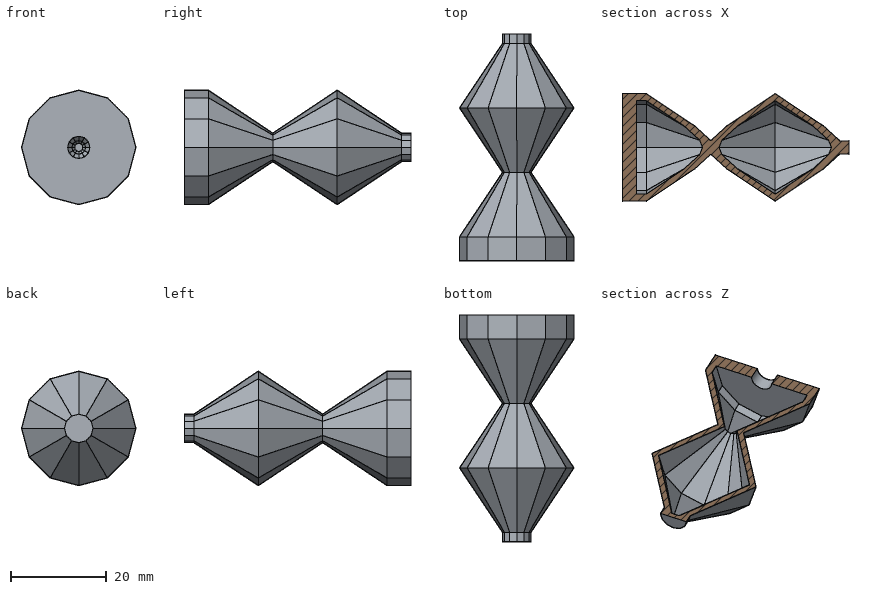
import cadquery as cq

length = 47.5
side_count = 12
base_length = 5.05
tip_length = 2.0
cone_length = (length - base_length - tip_length) / 3

wide_radius = 24.0 / 2
narrow_radius = 3.0

wall_inset = 1.55
floor_thickness = 3.0
cavity_tip_radius = 0.85
bore_diameter = 4.55

base_face = -length / 2
base_top = base_face + base_length
waist = base_top + cone_length
belly = waist + cone_length
tip_start = belly + cone_length
tip_face = length / 2
cavity_start = base_face + floor_thickness

cavity_wide_radius = wide_radius - wall_inset
cavity_narrow_radius = narrow_radius - wall_inset
cone_taper = (wide_radius - narrow_radius) / cone_length
cavity_end = tip_start + (cavity_narrow_radius - cavity_tip_radius) / cone_taper


def section_plane(y):
    """Plane across the axis at y, with its normal toward +Y."""
    return cq.Plane(origin=(0, y, 0), xDir=(1, 0, 0), normal=(0, 1, 0))


def faceted_segment(start, end):
    """Twelve-sided prism or tapered length between two (y, corner radius) stations."""
    (start_y, start_radius), (end_y, end_radius) = start, end
    return (
        cq.Workplane(section_plane(start_y))
        .polygon(side_count, 2 * start_radius)
        .workplane(offset=end_y - start_y)
        .polygon(side_count, 2 * end_radius)
        .loft(ruled=True, combine=True)
    )


def faceted_body(stations):
    """Solid joining all the segments between neighbouring stations."""
    body = faceted_segment(stations[0], stations[1])
    for start, end in zip(stations[1:], stations[2:]):
        body = body.union(faceted_segment(start, end))
    return body


outside = faceted_body([
    (base_face, wide_radius),
    (base_top, wide_radius),
    (waist, narrow_radius),
    (belly, wide_radius),
    (tip_start, narrow_radius),
    (tip_face, narrow_radius),
])

cavity = faceted_body([
    (cavity_start, cavity_wide_radius),
    (base_top, cavity_wide_radius),
    (waist, cavity_narrow_radius),
    (belly, cavity_wide_radius),
    (cavity_end, cavity_tip_radius),
])

bore = cq.Workplane(section_plane(base_face)).circle(bore_diameter / 2).extrude(base_length)

result = outside.cut(cavity).cut(bore)